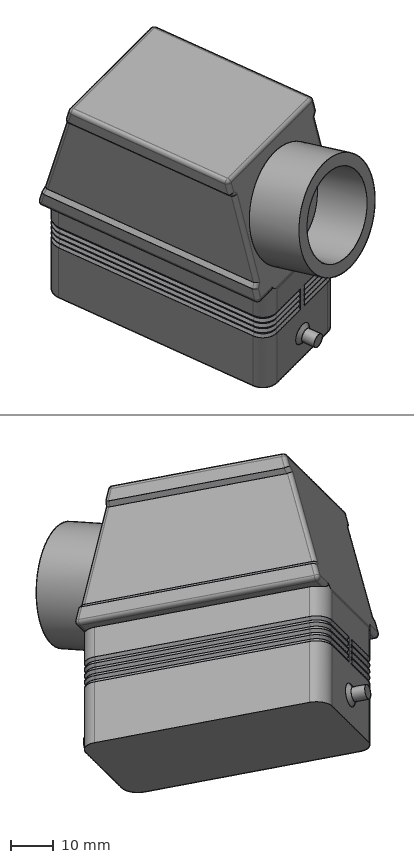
import cadquery as cq
import math

total_height = 64.5
neck_length = 63.1
neck_width = 29.35
neck_corner_radius = 4.05
neck_height = 30.0

hood_width = 36.0
end_lean = 14.5
edge_radius = 1.05
side_recess_bottom = 34.2
side_recess_top = 60.4
side_recess_depth = 1.05
neck_blend_radius = 2.1

groove_count = 4
groove_pitch = 1.6
groove_depth = 0.5
groove_start = 15.8
groove_bridge_width = 1.7

pin_height = 7.5
pin_diameter = 3.6
pin_reach = 4.45
pin_cone_diameter = 5.7
pin_cone_length = 1.0

entry_diameter = 30.0
entry_bore_diameter = 23.6
entry_tip_x = 45.1

lean_rate = math.tan(math.radians(end_lean))
lean_sin = math.sin(math.radians(end_lean))
lean_cos = math.cos(math.radians(end_lean))


def end_x(z):
    """X of the leaning +X end face at height z."""
    return neck_length / 2 - (z - neck_height) * lean_rate


def rounded_block(z, height, taper=0):
    """Block with the neck's rounded footprint; a positive taper narrows it upwards."""
    footprint = cq.Sketch().rect(neck_length, neck_width).vertices().fillet(neck_corner_radius)
    return cq.Workplane("XY", origin=(0, 0, z)).placeSketch(footprint).extrude(height, taper=taper)


def make_hood():
    """Trapezoid with recessed sides; the edges of its ends, top and underside are rounded."""
    trapezoid = (
        cq.Workplane("XZ")
        .moveTo(-end_x(neck_height), neck_height)
        .lineTo(end_x(neck_height), neck_height)
        .lineTo(end_x(total_height), total_height)
        .lineTo(-end_x(total_height), total_height)
        .close()
        .extrude(hood_width / 2, both=True)
    )
    side_y = hood_width / 2
    recess_y = side_y - side_recess_depth
    for side in (-1, 1):
        recess = (
            cq.Workplane("YZ")
            .moveTo(side * side_y, side_recess_bottom)
            .lineTo(side * recess_y, side_recess_bottom + side_recess_depth)
            .lineTo(side * recess_y, side_recess_top - side_recess_depth)
            .lineTo(side * side_y, side_recess_top)
            .close()
            .extrude(neck_length, both=True)
        )
        trapezoid = trapezoid.cut(recess)
    outer_faces = trapezoid.faces("<X or >X or <Z or >Z")
    return outer_faces.edges().fillet(edge_radius)


def make_neck():
    """Rounded neck whose ends continue up into the hood along the leaning faces."""
    overlap_top = side_recess_bottom
    envelope = (
        cq.Workplane("XZ")
        .moveTo(-neck_length / 2, 0)
        .lineTo(neck_length / 2, 0)
        .lineTo(neck_length / 2, neck_height)
        .lineTo(end_x(overlap_top), overlap_top)
        .lineTo(-end_x(overlap_top), overlap_top)
        .lineTo(-neck_length / 2, neck_height)
        .close()
        .extrude(hood_width / 2, both=True)
    )
    blend_zone = cq.selectors.BoxSelector(
        (-neck_length, -hood_width, neck_height - neck_blend_radius),
        (neck_length, hood_width, neck_height + neck_blend_radius),
    )
    envelope = envelope.edges(blend_zone).fillet(neck_blend_radius)
    return rounded_block(0, overlap_top).intersect(envelope)


def make_grooves():
    """V grooves around the neck, interrupted by a bridge on each end face."""
    half_pitch = groove_pitch / 2
    taper = math.degrees(math.atan(groove_depth / half_pitch))
    grooves = (
        cq.Workplane("XY", origin=(0, 0, groove_start))
        .rect(neck_length + groove_pitch, neck_width + groove_pitch)
        .extrude(groove_count * groove_pitch)
    )
    for index in range(groove_count):
        core_bottom = groove_start + index * groove_pitch
        lower_core = rounded_block(core_bottom, half_pitch, taper)
        upper_core = lower_core.mirror("XY", (0, 0, core_bottom + half_pitch))
        grooves = grooves.cut(lower_core).cut(upper_core)
    bridge = cq.Workplane("XY").box(2 * neck_length, groove_bridge_width, 2 * total_height)
    return grooves.cut(bridge)


def make_pins():
    """One pin through the neck, its two ends standing on short cones."""
    pin_tip = neck_length / 2 + pin_reach
    cone_end = neck_length / 2 + pin_cone_length
    return (
        cq.Workplane("XY")
        .moveTo(-pin_tip, 0)
        .lineTo(-pin_tip, pin_diameter / 2)
        .lineTo(-cone_end, pin_diameter / 2)
        .lineTo(-neck_length / 2, pin_cone_diameter / 2)
        .lineTo(neck_length / 2, pin_cone_diameter / 2)
        .lineTo(cone_end, pin_diameter / 2)
        .lineTo(pin_tip, pin_diameter / 2)
        .lineTo(pin_tip, 0)
        .close()
        .revolve(360, (0, 0, 0), (1, 0, 0))
        .translate((0, 0, pin_height))
    )


def make_entry():
    """Tube square to the leaning +X face, its upper rim level with the hood top."""
    mouth_x = entry_tip_x - entry_diameter / 2 * lean_sin
    mouth_z = total_height - entry_diameter / 2 * lean_cos
    length = (mouth_x - end_x(mouth_z)) * lean_cos
    mouth = cq.Plane(
        origin=(mouth_x, 0, mouth_z),
        xDir=(0, 1, 0),
        normal=(lean_cos, 0, lean_sin),
    )
    return cq.Workplane(mouth).circle(entry_diameter / 2).circle(entry_bore_diameter / 2).extrude(-length)


body = make_neck().union(make_hood()).cut(make_grooves())
result = body.union(make_pins()).union(make_entry())